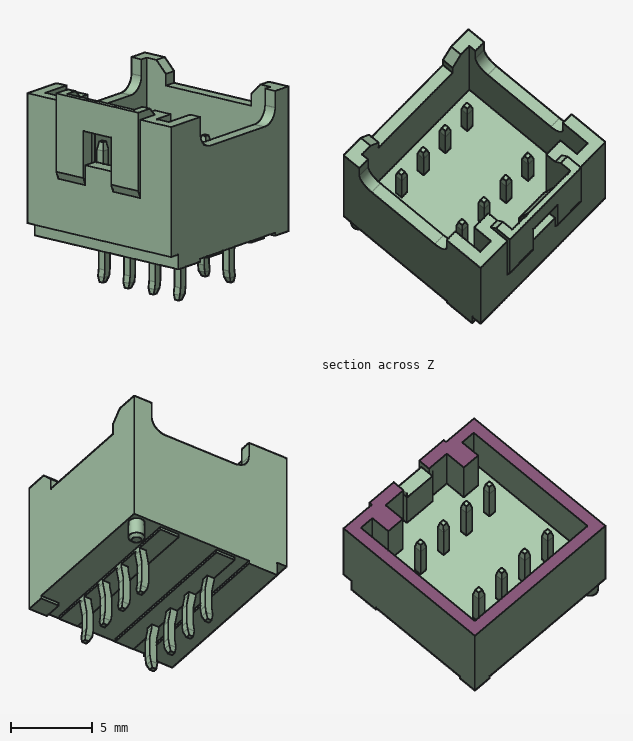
import cadquery as cq

WIDTH = 11.4
BACK_Y = 4.83
FRONT_Y = -6.47
RIM_Z = 9.25
UNDERSIDE_Z = 0.2
FLOOR_Z = 2.75
WALL = 0.8
FRONT_WALL = 0.75
INNER_WIDTH = WIDTH - 2 * WALL
INNER_FRONT_Y = FRONT_Y + FRONT_WALL

CORNER_POST_DEPTH = 1.3
SIDE_CUT_BACK_Y = BACK_Y - CORNER_POST_DEPTH
SIDE_CUT_FRONT_Y = -3.67
SIDE_CUT_Z = 7.2
SIDE_CUT_RADIUS = 1.0
BACK_CUT_WIDTH = 6.75
BACK_CUT_Z = 7.75
BACK_CUT_CHAMFER = 0.75

CHANNEL_WIDTH = 5.3
BLOCK_OUTER_WIDTH = 7.86
BLOCK_BACK_Y = -4.35

TAB_WIDTH = 6.5
TAB_FRONT_Y = -6.67
TAB_TOP_Z = 9.75
TAB_BOTTOM_Z = 4.25
TAB_CHAMFER_HEIGHT = 0.5
TAB_WALL = 0.35
TAB_BACK_TOP_Y = -5.54
TAB_BACK_RIM_Y = -5.08
TAB_INNER_Y = TAB_FRONT_Y + TAB_WALL

WINDOW_WIDTH = 2.2
SILL_Z = 5.52
WINDOW_TOP_Z = 7.75
NUB_WIDTH = 2.28
NUB_BACK_Y = -5.51
RAMP_BACK_Y = -5.81

STEP_HEIGHT = 0.95
STEP_DEPTH = 0.7
STEP_BACK_Y = FRONT_Y + STEP_DEPTH
ROW_FOOT_WIDTH = 11.0
ROW_FOOT_INNER_Y = 1.39
ROW_FOOT_OUTER_Y = 2.75
CORNER_FOOT_WIDTH = 1.3

PEG_DIAMETER = 1.0
PEG_X = -5.0
PEG_Y = 4.18
PEG_BOTTOM_Z = -1.1
PEG_CHAMFER = 0.2

PIN_COUNT = 4
PIN_PITCH = 2.0
ROW_Y = 2.5
PIN_SIZE = 0.5
PIN_TIP_SIZE = 0.3
PIN_TOP_Z = 5.77
PIN_TOP_TAPER = 0.5
PIN_BOTTOM_Z = -3.2
BEND_START_Z = -0.2
BEND_END_Z = -1.06
RETURN_START_Z = -2.37
TAIL_TAPER_Z = -2.83
BEND_OFFSET = 0.16
TAIL_OFFSET = 0.09
TAIL_TIP_OFFSET = 0.005


def block(x_range, y_range, z_range):
    """Box spanning the given ranges."""
    (x0, x1), (y0, y1), (z0, z1) = x_range, y_range, z_range
    return cq.Workplane("XY").box(x1 - x0, y1 - y0, z1 - z0, centered=False).translate((x0, y0, z0))


def centered_block(width, y_range, z_range):
    """Box of the given width, centred on X = 0."""
    return block((-width / 2, width / 2), y_range, z_range)


def side_profile(points, width):
    """Y-Z outline extruded symmetrically about X = 0."""
    return cq.Workplane("YZ").polyline(points).close().extrude(width / 2, both=True)


def make_shell():
    """Open box with a floor and four walls."""
    body = centered_block(WIDTH, (FRONT_Y, BACK_Y), (UNDERSIDE_Z, RIM_Z))
    return body.cut(centered_block(INNER_WIDTH, (INNER_FRONT_Y, BACK_Y - WALL), (FLOOR_Z, RIM_Z)))


def make_side_cut():
    """Cutaway with rounded bottom corners across both side walls."""
    cut = centered_block(WIDTH, (SIDE_CUT_FRONT_Y, SIDE_CUT_BACK_Y), (SIDE_CUT_Z, TAB_TOP_Z))
    return cut.edges("|X and <Z").fillet(SIDE_CUT_RADIUS)


def make_back_cut():
    """Cutaway in the back wall, chamfered at its top corners."""
    half = BACK_CUT_WIDTH / 2
    flare = half + BACK_CUT_CHAMFER
    flare_z = RIM_Z - BACK_CUT_CHAMFER
    points = [(-half, BACK_CUT_Z), (half, BACK_CUT_Z), (half, flare_z), (flare, RIM_Z),
              (-flare, RIM_Z), (-half, flare_z)]
    return cq.Workplane("XZ", origin=(0, BACK_Y, 0)).polyline(points).close().extrude(WALL)


def make_tab():
    """Raised latch tab, solid until the channel is cut behind it."""
    points = [
        (FRONT_Y, TAB_BOTTOM_Z),
        (TAB_FRONT_Y, TAB_BOTTOM_Z + TAB_CHAMFER_HEIGHT),
        (TAB_FRONT_Y, TAB_TOP_Z),
        (TAB_BACK_TOP_Y, TAB_TOP_Z),
        (TAB_BACK_RIM_Y, RIM_Z),
        (TAB_BACK_RIM_Y, TAB_BOTTOM_Z),
    ]
    return side_profile(points, TAB_WIDTH)


def make_channel():
    """Space between the guide blocks, with a front wall thinning toward the top."""
    points = [
        (RAMP_BACK_Y, FLOOR_Z),
        (RAMP_BACK_Y, WINDOW_TOP_Z),
        (TAB_INNER_Y, TAB_TOP_Z),
        (BLOCK_BACK_Y, TAB_TOP_Z),
        (BLOCK_BACK_Y, FLOOR_Z),
    ]
    return side_profile(points, CHANNEL_WIDTH)


def make_nub():
    """Sloped nub behind the tab; its lower part carries the window sill."""
    points = [
        (TAB_INNER_Y, FLOOR_Z),
        (NUB_BACK_Y, FLOOR_Z),
        (NUB_BACK_Y, WINDOW_TOP_Z),
        (TAB_INNER_Y, TAB_TOP_Z),
    ]
    return side_profile(points, NUB_WIDTH)


def make_window():
    """Window through the nub, and the gap that splits the tab below the sill."""
    opening = centered_block(WINDOW_WIDTH, (TAB_FRONT_Y, NUB_BACK_Y), (SILL_Z, WINDOW_TOP_Z))
    gap = centered_block(WINDOW_WIDTH, (TAB_FRONT_Y, FRONT_Y), (TAB_BOTTOM_Z, SILL_Z))
    return opening.union(gap)


def make_feet():
    """Front bar, one bar under each pin row and one back corner foot."""
    feet = centered_block(WIDTH, (STEP_BACK_Y, SIDE_CUT_FRONT_Y), (0, UNDERSIDE_Z))
    for y_range in ((ROW_FOOT_INNER_Y, ROW_FOOT_OUTER_Y), (-ROW_FOOT_OUTER_Y, -ROW_FOOT_INNER_Y)):
        feet = feet.union(centered_block(ROW_FOOT_WIDTH, y_range, (0, UNDERSIDE_Z)))
    half = WIDTH / 2
    return feet.union(
        block((half - CORNER_FOOT_WIDTH, half), (SIDE_CUT_BACK_Y, BACK_Y), (0, UNDERSIDE_Z)))


def make_peg():
    """Round locating peg, rooted in the floor."""
    peg = cq.Workplane("XY", origin=(PEG_X, PEG_Y, PEG_BOTTOM_Z))
    peg = peg.circle(PEG_DIAMETER / 2).extrude(FLOOR_Z - PEG_BOTTOM_Z)
    return peg.faces("<Z").chamfer(PEG_CHAMFER)


def make_tip(base, end):
    """Square taper from the full pin section to the tip section."""
    (base_y, base_z), (end_y, end_z) = base, end
    tip = cq.Workplane("XY", origin=(0, base_y, base_z)).rect(PIN_SIZE, PIN_SIZE)
    tip = tip.workplane(offset=end_z - base_z).center(0, end_y - base_y)
    return tip.rect(PIN_TIP_SIZE, PIN_TIP_SIZE).loft(ruled=True)


def make_pin():
    """Pin of the back row at X = 0, its tail jogging toward the middle."""
    shoulder_z = PIN_TOP_Z - PIN_TOP_TAPER
    half = PIN_SIZE / 2
    centerline = [
        (ROW_Y, shoulder_z),
        (ROW_Y, BEND_START_Z),
        (ROW_Y - BEND_OFFSET, BEND_END_Z),
        (ROW_Y - BEND_OFFSET, RETURN_START_Z),
        (ROW_Y - TAIL_OFFSET, TAIL_TAPER_Z),
    ]
    outer_side = [(y + half, z) for y, z in centerline]
    inner_side = [(y - half, z) for y, z in reversed(centerline)]
    pin = side_profile(outer_side + inner_side, PIN_SIZE)
    top = make_tip((ROW_Y, shoulder_z), (ROW_Y, PIN_TOP_Z))
    tail = make_tip(centerline[-1], (ROW_Y - TAIL_TIP_OFFSET, PIN_BOTTOM_Z))
    return pin.union(top).union(tail)


def make_housing():
    """Complete plastic body without the pins."""
    housing = make_shell()
    housing = housing.union(
        centered_block(BLOCK_OUTER_WIDTH, (INNER_FRONT_Y, BLOCK_BACK_Y), (FLOOR_Z, RIM_Z)))
    housing = housing.cut(make_side_cut()).cut(make_back_cut())
    housing = housing.union(make_tab()).cut(make_channel()).union(make_nub()).cut(make_window())
    housing = housing.cut(
        centered_block(WIDTH, (FRONT_Y, STEP_BACK_Y), (UNDERSIDE_Z, STEP_HEIGHT)))
    return housing.union(make_feet()).union(make_peg())


result = make_housing()
back_pin = make_pin()
front_pin = back_pin.mirror("XZ")
for index in range(PIN_COUNT):
    pin_x = (index - (PIN_COUNT - 1) / 2) * PIN_PITCH
    for pin in (back_pin, front_pin):
        result = result.union(pin.translate((pin_x, 0, 0)))